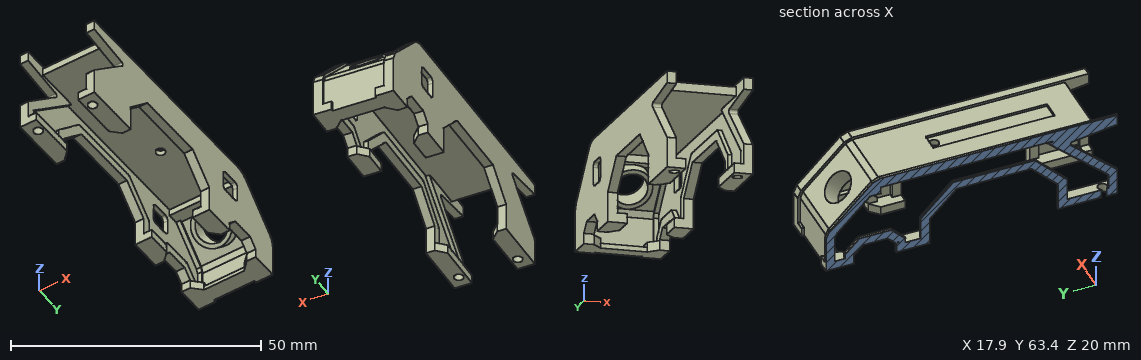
import cadquery as cq
import math

WIDTH = 17.95
LENGTH = 63.44
HEIGHT = 20.0

WALL = 1.95
TAPER = 0.2
RIM = 2.0
RECESS_DEPTH = 0.85
NOSE_CORNER_Z = 9.2
WALL_CORNER_CUT = 1.0

REAR_LEG = 12.9
KNEE_Z = 6.15
BELLY_Z = 12.05
MID_LEG_START = LENGTH - 22.6
ARCH_START = LENGTH - 15.35
ARCH_END = LENGTH - 6.15
ARCH_SIDE_Z = 2.15
ARCH_TOP_Z = 4.1
ARM_TIP_Z = 17.5
NOTCH_Y = 10.75
NOTCH_Z = 16.0
NOTCH_RADIUS = 0.5

WINDOW = 5.0
WINDOW_RADIUS = 0.9
WINDOW_Y = LENGTH - 15.15
WINDOW_Z = 12.5

FOOT_WIDTH = 3.9
FOOT_HEIGHT = 2.0
FOOT_HOLE_DIA = 2.0
FOOT_HOLE_INSET = 2.4
FOOT_HOLE_Y = 2.9

DECK_START = 5.25
PANEL_CORNER_CUT = 0.85
DECK_SINK = 0.55
DECK_THICKNESS = 1.85
PANEL_THICKNESS = 1.1
GUSSET_BOTTOM_Z = 16.0
GUSSET_START = LENGTH - 12.0
FLOOR_START = ARCH_END + RIM
FLOOR_THICKNESS = 1.0

SLOT_WIDTH = 4.0
SLOT_START = 11.3
SLOT_END = 37.7
SLOT_DEPTH = 0.5
SLOT_HOLE_DIA = 2.0

SOCKET_OUTER_DIA = 9.0
SOCKET_BORE_DIA = 7.0
SOCKET_Y = LENGTH - 5.82
SOCKET_DEPTH = 4.15

NOSE_ANGLE = math.pi / 4
DIAGONAL = math.cos(NOSE_ANGLE)
HALF_WIDTH = WIDTH / 2
SKIN = WALL - RECESS_DEPTH
PANEL_WIDTH = WIDTH - 2 * SKIN


def extrude_x(profile, x_start, x_end):
    """Extrude a YZ profile between two X positions."""
    return profile.extrude(x_end - x_start).translate((x_start, 0, 0))


def box(x_range, y_range, z_range):
    """Axis-aligned box from its limits."""
    sizes = [high - low for low, high in (x_range, y_range, z_range)]
    corner = (x_range[0], y_range[0], z_range[0])
    return cq.Workplane("XY").box(*sizes, centered=False).translate(corner)


def nose_points(sink, corner_cut):
    """Nose edge from the upright end to the top, moved inward by sink, with cut corners."""
    end_y = LENGTH - sink
    top_z = HEIGHT - sink
    low_z = NOSE_CORNER_Z - sink * math.tan(NOSE_ANGLE / 2)
    high_y = end_y - (top_z - low_z)
    step = corner_cut * DIAGONAL
    return [
        (end_y, low_z - corner_cut),
        (end_y - step, low_z + step),
        (high_y + step, top_z - step),
        (high_y - corner_cut, top_z),
    ]


def wall_profile():
    """Side outline of one wall in YZ."""
    knee_rise = BELLY_Z - KNEE_Z
    arch_rise = ARCH_TOP_Z - ARCH_SIDE_Z
    points = [
        (0, 0),
        (REAR_LEG, 0),
        (REAR_LEG, KNEE_Z),
        (REAR_LEG + knee_rise, BELLY_Z),
        (MID_LEG_START - knee_rise, BELLY_Z),
        (MID_LEG_START, KNEE_Z),
        (MID_LEG_START, 0),
        (ARCH_START, 0),
        (ARCH_START, ARCH_SIDE_Z),
        (ARCH_START + arch_rise, ARCH_TOP_Z),
        (ARCH_END - arch_rise, ARCH_TOP_Z),
        (ARCH_END, ARCH_SIDE_Z),
        (ARCH_END, 0),
        (LENGTH, 0),
        *nose_points(0, WALL_CORNER_CUT),
        (0, HEIGHT),
        (0, ARM_TIP_Z),
        (NOTCH_Y, NOTCH_Z),
        (0, KNEE_Z),
    ]
    return cq.Workplane("YZ").polyline(points).close()


def inner_x(width, y):
    """X of a tapered inner face on the -X side; width is its distance from the outside at Y = 0."""
    return width + TAPER * y / LENGTH - HALF_WIDTH


def make_foot(square_end, arch_end):
    """Foot flange with one square end and one slanted end facing an arch."""
    slant = math.copysign(FOOT_WIDTH - WALL, square_end - arch_end)
    points = [
        (-HALF_WIDTH, square_end),
        (inner_x(FOOT_WIDTH, square_end), square_end),
        (inner_x(FOOT_WIDTH, arch_end + slant), arch_end + slant),
        (inner_x(WALL, arch_end), arch_end),
        (-HALF_WIDTH, arch_end),
    ]
    return cq.Workplane("XY").polyline(points).close().extrude(FOOT_HEIGHT)


def make_wall():
    """Wall on the -X side with its feet, inner recess, window and foot hole."""
    nose_x = inner_x(WALL, LENGTH)
    wall = extrude_x(wall_profile(), -HALF_WIDTH, nose_x)
    notch_edge = cq.selectors.NearestToPointSelector((-HALF_WIDTH + WALL / 2, NOTCH_Y, NOTCH_Z))
    wall = wall.edges(notch_edge).fillet(NOTCH_RADIUS)
    taper_points = [(inner_x(WALL, 0), 0), (nose_x, LENGTH), (nose_x, 0)]
    wall = wall.cut(cq.Workplane("XY").polyline(taper_points).close().extrude(HEIGHT))

    recess = wall_profile().offset2D(-RIM, kind="intersection")
    recess = extrude_x(recess, SKIN - HALF_WIDTH, nose_x)
    above_feet = box((-HALF_WIDTH, nose_x), (0, LENGTH), (FOOT_HEIGHT, HEIGHT))
    wall = wall.cut(recess.intersect(above_feet))

    wall = wall.union(make_foot(0, REAR_LEG))
    wall = wall.union(make_foot(MID_LEG_START, ARCH_START))
    wall = wall.union(make_foot(LENGTH, ARCH_END))

    window = cq.Workplane("YZ").center(WINDOW_Y, WINDOW_Z).rect(WINDOW, WINDOW)
    window = extrude_x(window, -HALF_WIDTH, nose_x).edges("|X").fillet(WINDOW_RADIUS)
    hole = cq.Workplane("XY").center(FOOT_HOLE_INSET - HALF_WIDTH, FOOT_HOLE_Y)
    hole = hole.circle(FOOT_HOLE_DIA / 2).extrude(FOOT_HEIGHT)
    return wall.cut(window).cut(hole)


def make_panels():
    """Deck, sloping panel, end plate, corner gusset and floor strip between the walls."""
    deck_top = HEIGHT - DECK_SINK
    deck_bottom = deck_top - DECK_THICKNESS
    outer = nose_points(DECK_SINK, PANEL_CORNER_CUT)
    inner = nose_points(DECK_SINK + PANEL_THICKNESS, PANEL_CORNER_CUT)
    slope_offset = inner[1][0] + inner[1][1]
    points = [
        (LENGTH - DECK_SINK, 0),
        *outer,
        (DECK_START, deck_top),
        (DECK_START, deck_bottom),
        (GUSSET_START, deck_bottom),
        (GUSSET_START, GUSSET_BOTTOM_Z),
        (slope_offset - GUSSET_BOTTOM_Z, GUSSET_BOTTOM_Z),
        inner[1],
        inner[0],
        (inner[0][0], FLOOR_THICKNESS),
        (FLOOR_START, FLOOR_THICKNESS),
        (FLOOR_START, 0),
    ]
    profile = cq.Workplane("YZ").polyline(points).close()
    return extrude_x(profile, -PANEL_WIDTH / 2, PANEL_WIDTH / 2)


def socket_cylinder(diameter, depth):
    """Cylinder running inward from the outer face of the sloping panel."""
    slope_y, slope_z = nose_points(DECK_SINK, PANEL_CORNER_CUT)[1]
    start = (0, SOCKET_Y, slope_z + slope_y - SOCKET_Y)
    plane = cq.Plane(origin=start, xDir=(1, 0, 0), normal=(0, -1, -1))
    return cq.Workplane(plane).circle(diameter / 2).extrude(depth)


def cut_slot(body):
    """Cut the long deck slot and the hole at its nose end."""
    deck_top = HEIGHT - DECK_SINK
    slot = box(
        (-SLOT_WIDTH / 2, SLOT_WIDTH / 2),
        (SLOT_START, SLOT_END),
        (deck_top - SLOT_DEPTH, deck_top),
    )
    radius = SLOT_HOLE_DIA / 2
    hole = cq.Workplane("XY", origin=(0, SLOT_END - radius, 0)).circle(radius).extrude(HEIGHT)
    return body.cut(slot).cut(hole)


wall = make_wall()
result = wall.union(wall.mirror("YZ")).union(make_panels())
result = result.union(socket_cylinder(SOCKET_OUTER_DIA, SOCKET_DEPTH))
result = result.cut(socket_cylinder(SOCKET_BORE_DIA, SOCKET_DEPTH))
result = cut_slot(result)